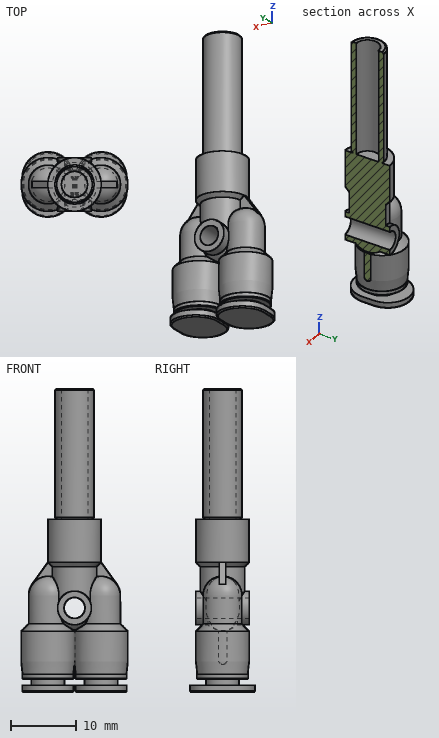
import cadquery as cq


overall_height = 46.6
tube_diameter = 6.0
tube_bore_diameter = 4.0
tube_chamfer = 0.3

collar_diameter = 8.2
collar_bottom = 19.95
collar_top = 26.55
stem_diameter = 6.85
stem_shoulder_height = (collar_diameter - stem_diameter) / 2

leg_pitch = 8.15
sleeve_diameter = 8.25
sleeve_bottom = 4.75
sleeve_top = 9.35
leg_diameter = 5.95
leg_shoulder_height = (sleeve_diameter - leg_diameter) / 2
dome_base = 14.85

end_ring_diameter = 7.9
end_ring_top = 2.8
end_ring_bottom = 2.05
end_ring_chamfer = 0.15
taper_end_diameter = 7.85

neck_diameter = 5.13
flange_width = 7.9
flange_length = 10.0
flange_thickness = 1.1
flange_chamfer = 0.25

boss_diameter = 5.15
boss_length = 8.25
boss_height = 12.95
mounting_hole_diameter = 3.15

rib_thickness = 1.0
rib_outer_reach = 6.52
rib_bottom = 16.6


def revolve_profile(profile):
    """Turn a closed (radius, height) outline about the Z axis."""
    return profile.close().revolve(360, (0, 0, 0), (0, 1, 0))


def make_plug():
    """Tube, collar and round-ended stem on the Z axis."""
    tube_radius = tube_diameter / 2
    collar_radius = collar_diameter / 2
    stem_radius = stem_diameter / 2
    round_end = cq.Workplane("XY").sphere(stem_radius).translate((0, 0, boss_height))
    body = revolve_profile(
        cq.Workplane("XZ")
        .moveTo(0, boss_height)
        .lineTo(stem_radius, boss_height)
        .lineTo(stem_radius, collar_bottom - stem_shoulder_height)
        .lineTo(collar_radius, collar_bottom)
        .lineTo(collar_radius, collar_top)
        .lineTo(tube_radius - tube_chamfer, collar_top)
        .lineTo(tube_radius, collar_top + tube_chamfer)
        .lineTo(tube_radius, overall_height - tube_chamfer)
        .lineTo(tube_radius - tube_chamfer, overall_height)
        .lineTo(0, overall_height)
    )
    return body.union(round_end)


def make_leg():
    """Domed leg with its sleeve, end ring, neck and release flange, centred on the Z axis."""
    leg_radius = leg_diameter / 2
    sleeve_radius = sleeve_diameter / 2
    ring_radius = end_ring_diameter / 2
    neck_radius = neck_diameter / 2
    body = revolve_profile(
        cq.Workplane("XZ")
        .moveTo(0, 0)
        .lineTo(neck_radius, 0)
        .lineTo(neck_radius, end_ring_bottom)
        .lineTo(ring_radius - end_ring_chamfer, end_ring_bottom)
        .lineTo(ring_radius, end_ring_bottom + end_ring_chamfer)
        .lineTo(ring_radius, end_ring_top)
        .lineTo(taper_end_diameter / 2, end_ring_top)
        .lineTo(sleeve_radius, sleeve_bottom)
        .lineTo(sleeve_radius, sleeve_top)
        .lineTo(leg_radius, sleeve_top + leg_shoulder_height)
        .lineTo(leg_radius, dome_base)
        .radiusArc((0, dome_base + leg_radius), -leg_radius)
    )
    flange = (
        cq.Workplane("XY")
        .slot2D(flange_length, flange_width, 90)
        .extrude(flange_thickness)
        .faces("<Z")
        .chamfer(flange_chamfer)
    )
    return body.union(flange)


def make_ribs():
    """Flat web whose sloping ends brace both domes against the collar."""
    collar_radius = collar_diameter / 2
    return (
        cq.Workplane("XZ")
        .moveTo(-collar_radius, collar_bottom)
        .lineTo(collar_radius, collar_bottom)
        .lineTo(rib_outer_reach, rib_bottom)
        .lineTo(leg_pitch / 2, dome_base)
        .lineTo(-leg_pitch / 2, dome_base)
        .lineTo(-rib_outer_reach, rib_bottom)
        .close()
        .extrude(rib_thickness / 2, both=True)
    )


def make_cross_cylinder(diameter):
    """Cylinder along Y through the boss position."""
    return (
        cq.Workplane("XZ")
        .center(0, boss_height)
        .circle(diameter / 2)
        .extrude(boss_length / 2, both=True)
    )


result = make_plug()
for side in (-1, 1):
    result = result.union(make_leg().translate((side * leg_pitch / 2, 0, 0)))
result = result.union(make_ribs())
result = result.union(make_cross_cylinder(boss_diameter))
result = result.cut(make_cross_cylinder(mounting_hole_diameter))

tube_bore = (
    cq.Workplane("XY", origin=(0, 0, collar_top))
    .circle(tube_bore_diameter / 2)
    .extrude(overall_height - collar_top)
)
result = result.cut(tube_bore)